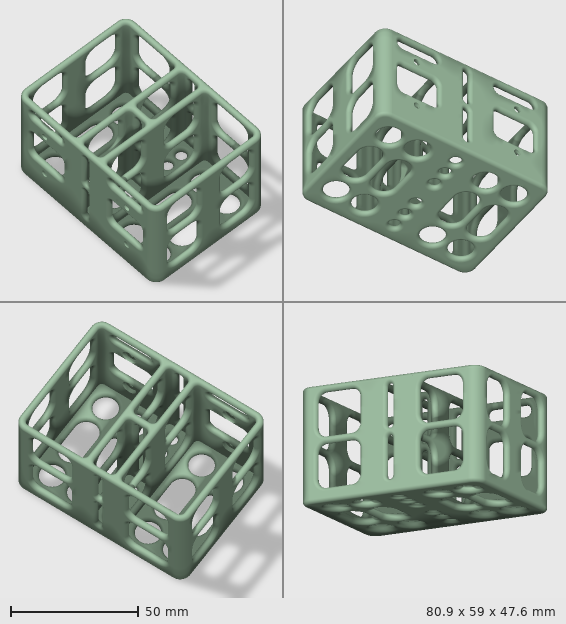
import cadquery as cq

length = 80.9
width = 59.0
height = 47.6
wall = 3.0
half_wall = wall / 2
edge_land = 0.02
edge_round = (wall - edge_land) / 2
corner_radius = 4.9
inner_corner_radius = corner_radius - wall

middle_bay = 10.4
divider_x = (middle_bay + wall) / 2
side_bay = length / 2 - wall - divider_x - half_wall
side_bay_x = divider_x + half_wall + side_bay / 2
half_bay = width / 2 - wall - half_wall
half_bay_y = half_wall + half_bay / 2

rail_top = height - half_wall
rail_middle = 25.2
rail_bottom = 4.3

end_window_width = 19.7
end_window_y = 14.0
end_window_radius = 6.3

side_window_width = 22.2
back_window_radius = 5.4
front_window_bottom = 14.7
front_window_top = 32.85
front_window_radius = 4.3
front_slot_bottom = 38.45
middle_slot_width = 5.7

screw_diameter = 3.0
recess_diameter = 6.5
recess_depth = 1.8
screw_x = 23.8
screw_heights = (11.9, 35.5)

large_border = 13.4
large_hole_y = 18.5
small_border = 7.7
small_pitch = 7.45


def rounded_outline(across, along, radius):
    """Flat rounded rectangle; its short sides are full half circles when the radius allows no more."""
    if 2 * radius < min(across, along):
        return cq.Sketch().rect(across, along).vertices().fillet(radius)
    if across > along:
        return cq.Sketch().slot(across - along, along)
    if along > across:
        return cq.Sketch().slot(along - across, across, angle=90)
    return cq.Sketch().circle(across / 2)


def opening_cutter(across, along, radius):
    """Flat cutter one wall thick, narrow at mid-thickness and flaring to the border at both faces."""
    shrink = 2 * edge_round
    hole = rounded_outline(across - shrink, along - shrink, radius - edge_round)
    plate = cq.Workplane().rect(across + wall, along + wall).extrude(wall)
    pierced = plate.cut(cq.Workplane().placeSketch(hole).extrude(wall))
    inside = cq.selectors.BoxSelector(
        (-across / 2, -along / 2, -wall), (across / 2, along / 2, 2 * wall)
    )
    rounded = pierced.faces("<Z or >Z").edges(inside).fillet(edge_round)
    return plate.cut(rounded).translate((0, 0, -half_wall))


def floor_opening(x, y, across, along):
    """Full-round opening through the floor."""
    cutter = opening_cutter(across, along, across / 2)
    return cutter.translate((x, y, half_wall))


def facing_y(x, y, bottom, top, across, radius):
    """Opening through a wall whose mid-plane lies at the given Y."""
    cutter = opening_cutter(across, top - bottom, radius)
    return cutter.rotate((0, 0, 0), (1, 0, 0), 90).translate((x, y, (bottom + top) / 2))


def facing_x(x, y, bottom, top):
    """End window through a wall whose mid-plane lies at the given X."""
    cutter = opening_cutter(top - bottom, end_window_width, end_window_radius)
    return cutter.rotate((0, 0, 0), (0, 1, 0), 90).translate((x, y, (bottom + top) / 2))


def bay(x, y, across, along):
    """Open-topped compartment with rounded upright corners."""
    block = cq.Workplane().box(across, along, height).edges("|Z").fillet(inner_corner_radius)
    return block.translate((x, y, wall + height / 2))


result = cq.Workplane().box(length, width, height, centered=(True, True, False))
result = result.edges("|Z").fillet(corner_radius)
for side in (-1, 1):
    result = result.cut(bay(side * side_bay_x, 0, side_bay, width - 2 * wall))
    result = result.cut(bay(0, side * half_bay_y, middle_bay, half_bay))
result = result.faces("<Z or >Z").edges().fillet(edge_round)

levels = ((rail_bottom, rail_middle), (rail_middle, rail_top))
front_y = half_wall - width / 2
back_y = -front_y
end_x = length / 2 - half_wall
cutters = []

for x in (-end_x, -divider_x, divider_x, end_x):
    for y in (-end_window_y, end_window_y):
        for bottom, top in levels:
            cutters.append(facing_x(x, y, bottom, top))

for y in (front_y, 0, back_y):
    for bottom, top in levels:
        cutters.append(facing_y(0, y, bottom, top, middle_slot_width, middle_slot_width / 2))

for x in (-side_bay_x, side_bay_x):
    for bottom, top in levels:
        cutters.append(facing_y(x, back_y, bottom, top, side_window_width, back_window_radius))

    slot_radius = (rail_top - front_slot_bottom) / 2
    cutters.append(facing_y(x, front_y, front_slot_bottom, rail_top, side_window_width, slot_radius))
    cutters.append(
        facing_y(x, front_y, front_window_bottom, front_window_top, side_window_width, front_window_radius)
    )

    for hole_x in (x - large_border / 2, x + large_border / 2):
        cutters.append(floor_opening(hole_x, 0, large_border, 2 * large_hole_y - large_border))
        for hole_y in (-large_hole_y, large_hole_y):
            cutters.append(floor_opening(hole_x, hole_y, large_border, large_border))

for bay_y in (-half_bay_y, half_bay_y):
    for step in (-1, 0, 1):
        cutters.append(floor_opening(0, bay_y + step * small_pitch, small_border, small_border))

result = cq.Workplane(result.val().cut(*[cutter.val() for cutter in cutters]))

for x in (-screw_x, screw_x):
    for z in screw_heights:
        inner_face = cq.Workplane("XZ", origin=(x, wall - width / 2, z))
        result = result.cut(inner_face.circle(screw_diameter / 2).extrude(wall))
        result = result.cut(inner_face.circle(recess_diameter / 2).extrude(recess_depth))